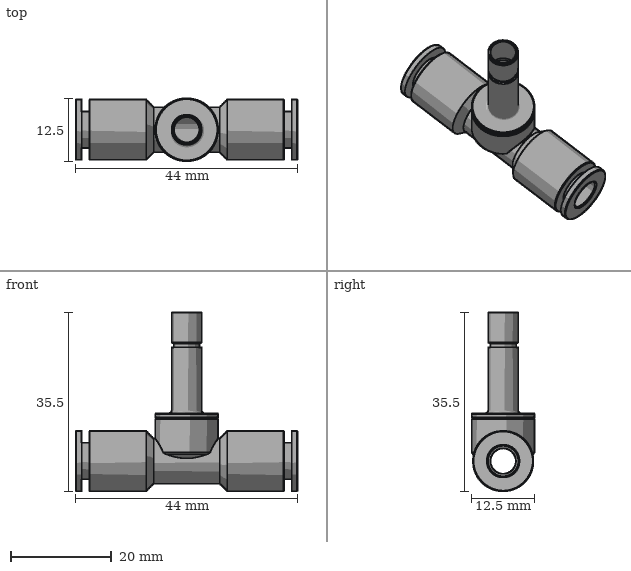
import cadquery as cq


run_half_length = 22.0
body_radius = 6.0
body_end = 19.3
neck_radius = 4.5
neck_half_length = 6.55
body_start = 8.05
sleeve_radius = 3.65
release_ring_thickness = 1.2
run_edge_break = 0.15
run_bore_radius = 2.5

socket_radius = 3.0
socket_depth = 14.0
socket_chamfer = 0.25

boss_radius = 6.25
boss_top = 9.5
boss_top_chamfer = 0.2
boss_groove_top = 8.7
boss_groove_bottom = 8.25
boss_groove_depth = 0.2
boss_side_bottom = 1.75
boss_edge_break_width = 0.25
boss_edge_break_height = 0.35
boss_tip_radius = 4.45
boss_tip_z = 0.5

stem_radius = 3.0
stem_top = 29.5
stem_edge_break = 0.15
stem_bore_radius = 2.5
stem_root_fillet = 0.5
stem_groove_radius = 2.6
stem_groove_bottom = 22.5
stem_groove_top = 23.5
stem_groove_taper = 0.25


def cylinder_x(radius, start, end):
    """Cylinder on the X axis between two X positions."""
    return cq.Workplane("YZ").workplane(offset=start).circle(radius).extrude(end - start)


def solid_run():
    """Whole run turned about the X axis: neck, cones, bodies, exposed sleeves, release rings."""
    ring_inner = run_half_length - release_ring_thickness
    broken_radius = body_radius - run_edge_break
    half_profile = [
        (neck_half_length, neck_radius),
        (body_start, body_radius),
        (body_end - run_edge_break, body_radius),
        (body_end, broken_radius),
        (body_end, sleeve_radius),
        (ring_inner, sleeve_radius),
        (ring_inner, body_radius),
        (run_half_length - run_edge_break, body_radius),
        (run_half_length, broken_radius),
        (run_half_length, 0),
    ]
    mirrored_profile = [(-x, radius) for x, radius in reversed(half_profile)]
    return (
        cq.Workplane("XY")
        .polyline(mirrored_profile + half_profile)
        .close()
        .revolve(360, (0, 0, 0), (1, 0, 0))
    )


def socket():
    """Cutter for the +X tube socket with a chamfered mouth."""
    bore = cylinder_x(socket_radius, run_half_length - socket_depth, run_half_length)
    mouth = (
        cq.Workplane("YZ")
        .workplane(offset=run_half_length)
        .circle(socket_radius + socket_chamfer)
        .workplane(offset=-socket_chamfer)
        .circle(socket_radius)
        .loft(ruled=True)
    )
    return bore.union(mouth)


def branch():
    """Boss and stem as one turned profile about the Z axis."""
    groove_floor = boss_radius - boss_groove_depth
    fillet_mid_offset = stem_root_fillet * (1 - 0.5 ** 0.5)
    return (
        cq.Workplane("XZ")
        .moveTo(0, boss_tip_z)
        .lineTo(boss_tip_radius, boss_tip_z)
        .lineTo(boss_radius - boss_edge_break_width, boss_side_bottom - boss_edge_break_height)
        .lineTo(boss_radius, boss_side_bottom)
        .lineTo(boss_radius, boss_groove_bottom)
        .lineTo(groove_floor, boss_groove_bottom + boss_groove_depth)
        .lineTo(groove_floor, boss_groove_top)
        .lineTo(boss_radius, boss_groove_top)
        .lineTo(boss_radius, boss_top - boss_top_chamfer)
        .lineTo(boss_radius - boss_top_chamfer, boss_top)
        .lineTo(stem_radius + stem_root_fillet, boss_top)
        .threePointArc(
            (stem_radius + fillet_mid_offset, boss_top + fillet_mid_offset),
            (stem_radius, boss_top + stem_root_fillet),
        )
        .lineTo(stem_radius, stem_groove_bottom)
        .lineTo(stem_groove_radius, stem_groove_bottom)
        .lineTo(stem_groove_radius, stem_groove_top - stem_groove_taper)
        .lineTo(stem_radius, stem_groove_top)
        .lineTo(stem_radius, stem_top - stem_edge_break)
        .lineTo(stem_radius - stem_edge_break, stem_top)
        .lineTo(0, stem_top)
        .close()
        .revolve(360, (0, 0, 0), (0, 1, 0))
    )


result = solid_run().union(branch())

for end_socket in (socket(), socket().mirror("YZ")):
    result = result.cut(end_socket)

run_bore = cylinder_x(run_bore_radius, -run_half_length, run_half_length)
stem_bore = cq.Workplane("XY").circle(stem_bore_radius).extrude(stem_top)
result = result.cut(run_bore).cut(stem_bore)